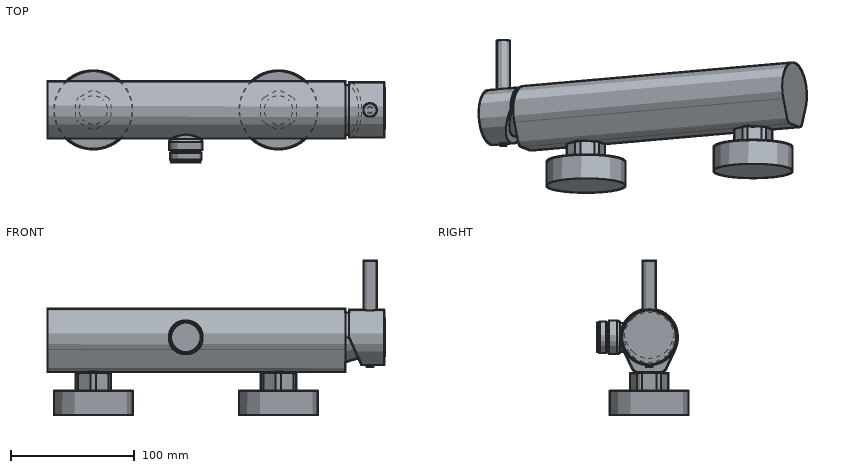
import cadquery as cq
import math


body_length = 241.0
body_radius = 23.2
flank_angle = math.radians(25)
base_z = -28.1
base_corner_radius = 5.5

union_spacing = 149.7
first_union_x = 37.2
flange_radius = 32.0
flange_bottom_z = -62.8
flange_height = 20.0
flange_chamfer = 0.5
nut_across_flats = 29.0
nut_corner_radius = 15.5
nut_top_z = -29.0
collar_radius = 11.5

outlet_x = first_union_x + union_spacing / 2
outlet_stub_radius = 11.7
outlet_ring_radius = 13.7
outlet_ring_start = 23.5
outlet_ring_end = 32.5
outlet_ring_bevel_depth = 1.0
outlet_ring_bevel_length = 2.5
outlet_tip_radius = 12.8
outlet_tip_start = 34.1
outlet_tip_end = 40.7
outlet_tip_chamfer = 0.8
outlet_core_radius = outlet_tip_radius - outlet_tip_chamfer
outlet_end = 42.3

neck_radius = 20.2
neck_taper_angle = math.radians(17)
knob_start = 244.0
knob_end = 273.2
knob_radius = 22.5
knob_bevel_run = 10.0
knob_edge_chamfer = 0.5
knob_crown = 0.5
lever_x = 261.0
lever_radius = 5.5
lever_top_z = 62.0
screw_radius = 2.7
screw_chamfer = 0.5
screw_bottom_z = -24.0


def make_body():
    tangent_y = body_radius * math.cos(flank_angle)
    tangent_z = -body_radius * math.sin(flank_angle)
    base_half_width = (body_radius + base_z * math.sin(flank_angle)) / math.cos(flank_angle)
    body = (
        cq.Workplane("YZ")
        .moveTo(tangent_y, tangent_z)
        .threePointArc((0, body_radius), (-tangent_y, tangent_z))
        .lineTo(-base_half_width, base_z)
        .lineTo(base_half_width, base_z)
        .close()
        .extrude(body_length)
    )
    return body.faces("<Z").edges("|X").fillet(base_corner_radius)


def upright_cylinder(x, radius, bottom_z, top_z):
    return cq.Workplane("XY", origin=(x, 0, bottom_z)).circle(radius).extrude(top_z - bottom_z)


def make_union(x):
    flange_top_z = flange_bottom_z + flange_height
    flange = upright_cylinder(x, flange_radius, flange_bottom_z, flange_top_z)
    flange = flange.faces(">Z").edges().chamfer(flange_chamfer)

    across_corners = nut_across_flats / math.cos(math.pi / 6)
    hexagon = (
        cq.Workplane("XY", origin=(x, 0, flange_top_z))
        .transformed(rotate=(0, 0, 30))
        .polygon(6, across_corners)
        .extrude(nut_top_z - flange_top_z)
    )
    nut = hexagon.intersect(upright_cylinder(x, nut_corner_radius, flange_top_z, nut_top_z))

    collar = upright_cylinder(x, collar_radius, nut_top_z, 0)
    return flange.union(nut).union(collar)


def make_outlet():
    half_profile = [
        (0, 0),
        (outlet_stub_radius, 0),
        (outlet_stub_radius, -outlet_ring_start),
        (outlet_ring_radius - outlet_ring_bevel_depth, -outlet_ring_start),
        (outlet_ring_radius, -outlet_ring_start - outlet_ring_bevel_length),
        (outlet_ring_radius, -outlet_ring_end),
        (outlet_core_radius, -outlet_ring_end),
        (outlet_core_radius, -outlet_tip_start),
        (outlet_tip_radius, -outlet_tip_start - outlet_tip_chamfer),
        (outlet_tip_radius, -outlet_tip_end + outlet_tip_chamfer),
        (outlet_core_radius, -outlet_tip_end),
        (outlet_core_radius, -outlet_end),
        (0, -outlet_end),
    ]
    outlet = cq.Workplane("XY").polyline(half_profile).close().revolve(360, (0, 0), (0, 1))
    return outlet.translate((outlet_x, 0, 0))


def make_neck():
    neck_end = knob_start + knob_bevel_run
    neck_length = neck_end - body_length
    neck_end_radius = neck_radius - neck_length * math.tan(neck_taper_angle)
    cone = (
        cq.Workplane("XY")
        .polyline([(body_length, 0), (body_length, neck_radius), (neck_end, neck_end_radius), (neck_end, 0)])
        .close()
        .revolve(360, (0, 0), (1, 0))
    )
    upper_half = (
        cq.Workplane("YZ", origin=(body_length, 0, 0))
        .moveTo(neck_radius, 0)
        .threePointArc((0, neck_radius), (-neck_radius, 0))
        .close()
        .extrude(neck_length)
    )
    return cone.union(upper_half)


def make_knob():
    rim_x = knob_end - knob_crown
    rim_radius = knob_radius - knob_edge_chamfer
    crown_radius = (rim_radius**2 + knob_crown**2) / (2 * knob_crown)
    crown_mid_y = rim_radius / 2
    crown_mid_x = knob_end - crown_radius + math.sqrt(crown_radius**2 - crown_mid_y**2)
    knob = (
        cq.Workplane("XY")
        .moveTo(knob_start, 0)
        .lineTo(knob_start, knob_radius)
        .lineTo(rim_x - knob_edge_chamfer, knob_radius)
        .lineTo(rim_x, rim_radius)
        .threePointArc((crown_mid_x, crown_mid_y), (knob_end, 0))
        .close()
        .revolve(360, (0, 0), (1, 0))
    )
    bevel = (
        cq.Workplane("XZ")
        .moveTo(knob_start, 0)
        .lineTo(knob_start + knob_bevel_run, -knob_radius)
        .lineTo(knob_start, -knob_radius)
        .close()
        .extrude(knob_radius, both=True)
    )
    lever = upright_cylinder(lever_x, lever_radius, 0, lever_top_z)
    screw = upright_cylinder(lever_x, screw_radius, screw_bottom_z, 0)
    screw = screw.faces("<Z").edges().chamfer(screw_chamfer)
    return knob.cut(bevel).union(make_neck()).union(lever).union(screw)


result = make_body().union(make_outlet()).union(make_knob())
for union_x in (first_union_x, first_union_x + union_spacing):
    result = result.union(make_union(union_x))